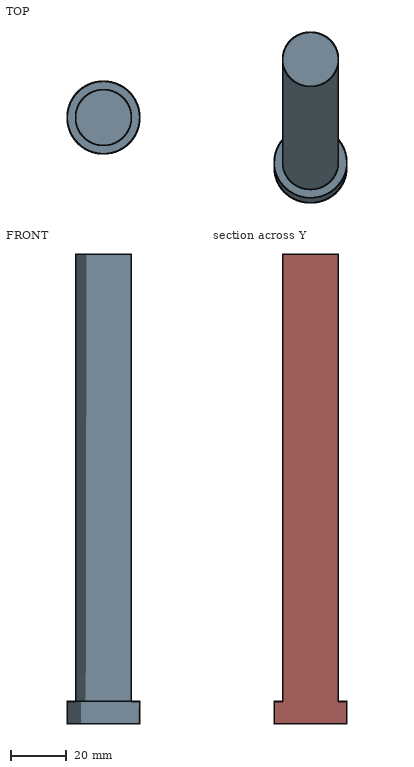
import cadquery as cq

total_length = 168.0
head_diameter = 26.0
head_height = 8.0
shank_diameter = 20.0
shank_length = total_length - head_height

head = cq.Workplane("XY").circle(head_diameter / 2).extrude(head_height)

result = head.faces(">Z").workplane().circle(shank_diameter / 2).extrude(shank_length)